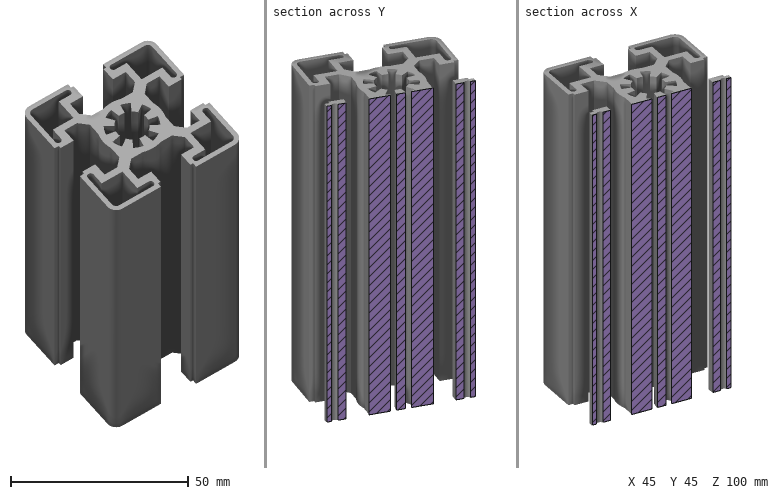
import cadquery as cq
import math

side = 45.0
length = 100.0
half_side = side / 2

skin = 1.5
corner_radius = 3.0
cavity_corner_radius = corner_radius - skin

mouth_half_width = 5.2
mouth_step_half_width = 6.1
mouth_step_depth = 1.5
lip_back = 16.5
channel_half_width = 9.7
floor_distance = 9.5
floor_chamfer = 2.6
floor_bulge_radius = 10.0

inner_wall = 2.1
lip_wall = 2.5
finger_end = 6.9
finger_fillet = 0.9

bore_radius = 5.0
groove_radius = 8.0
groove_count = 8
groove_pitch = 360 / groove_count
groove_angle = groove_pitch / 2


def polar(radius, degrees):
    angle = math.radians(degrees)
    return (radius * math.cos(angle), radius * math.sin(angle))


def t_slot():
    """T-slot in the +Y side, with its chamfered floor bowed outward in the middle."""
    step_y = half_side - mouth_step_depth
    floor_half_width = channel_half_width - floor_chamfer
    floor_corner_y = floor_distance + floor_chamfer
    bulge_half_width = math.sqrt(floor_bulge_radius**2 - floor_distance**2)
    return (
        cq.Workplane("XY")
        .moveTo(-mouth_step_half_width, half_side)
        .lineTo(-mouth_step_half_width, step_y)
        .lineTo(-mouth_half_width, step_y)
        .lineTo(-mouth_half_width, lip_back)
        .lineTo(-channel_half_width, lip_back)
        .lineTo(-channel_half_width, floor_corner_y)
        .lineTo(-floor_half_width, floor_distance)
        .lineTo(-bulge_half_width, floor_distance)
        .threePointArc((0, floor_bulge_radius), (bulge_half_width, floor_distance))
        .lineTo(floor_half_width, floor_distance)
        .lineTo(channel_half_width, floor_corner_y)
        .lineTo(channel_half_width, lip_back)
        .lineTo(mouth_half_width, lip_back)
        .lineTo(mouth_half_width, step_y)
        .lineTo(mouth_step_half_width, step_y)
        .lineTo(mouth_step_half_width, half_side)
        .close()
        .extrude(length)
    )


def corner_hollow():
    """Hollow in the +X +Y corner: a square room with a narrow finger behind each slot lip."""
    outer = half_side - skin
    room = channel_half_width + inner_wall
    finger_inner = lip_back + lip_wall
    hollow = (
        cq.Workplane("XY")
        .polyline([
            (outer, outer),
            (finger_end, outer),
            (finger_end, finger_inner),
            (room, finger_inner),
            (room, room),
            (finger_inner, room),
            (finger_inner, finger_end),
            (outer, finger_end),
        ])
        .close()
        .extrude(length)
    )
    return (
        hollow.edges("|Z and (>X and >Y)")
        .fillet(cavity_corner_radius)
        .faces("<X or <Y")
        .edges("|Z")
        .fillet(finger_fillet)
    )


def bore_groove(centre_angle):
    """Radial-sided groove that widens the bore between two teeth."""
    start = centre_angle - groove_angle / 2
    end = centre_angle + groove_angle / 2
    return (
        cq.Workplane("XY")
        .lineTo(*polar(groove_radius, start))
        .threePointArc(polar(groove_radius, centre_angle), polar(groove_radius, end))
        .close()
        .extrude(length)
    )


profile = cq.Workplane("XY").rect(side, side).extrude(length).edges("|Z").fillet(corner_radius)

slot = t_slot()
hollow = corner_hollow()
for quarter in range(4):
    turn = 90 * quarter
    profile = profile.cut(slot.rotate((0, 0, 0), (0, 0, 1), turn))
    profile = profile.cut(hollow.rotate((0, 0, 0), (0, 0, 1), turn))

profile = profile.cut(cq.Workplane("XY").circle(bore_radius).extrude(length))
for index in range(groove_count):
    profile = profile.cut(bore_groove((index + 0.5) * groove_pitch))

result = profile